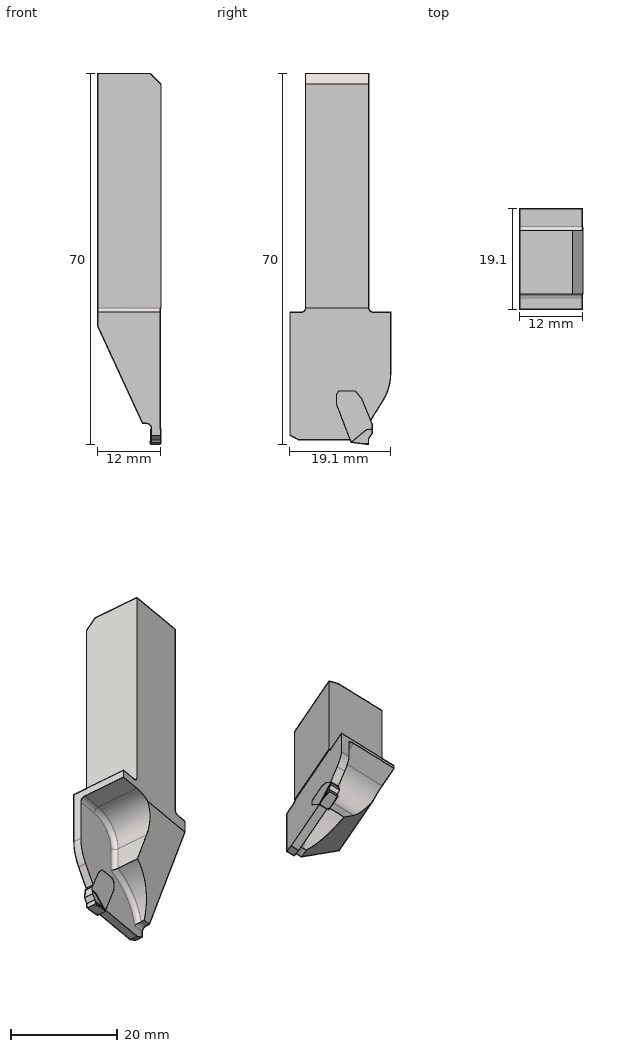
import cadquery as cq

total_height = 70.0
shank_size = 12.0
shank_front = 2.95
shank_back = shank_front + shank_size
top_chamfer = 2.0

head_depth = 19.05
head_top = 25.0
neck_fillet = 0.8
head_side = 11.8
head_bottom = 0.9
heel_radius = 9.8
heel_corner_z = 10.65
heel_bottom_y = 12.95
toe_y = 1.6
toe_z = 1.75

flank_top_z = 22.3
flank_bottom_x = 8.5

blade_face_x = 10.15
recess_top = 23.3
recess_side_y = 8.75
recess_corner_radius = shank_back - recess_side_y
recess_step_z = 12.4
curve_mid = (4.4, 9.4)
curve_end_y = 1.6
ledge_z = 4.0
recess_fillet = 1.0

insert_outline = [
    (12.4, 10.1), (9.2, 10.1), (8.75, 9.4), (8.75, 7.7), (11.55, 0.4),
    (14.85, 0.0), (14.85, 1.1), (15.55, 2.1), (15.55, 3.85), (15.2, 4.6), (13.6, 8.6),
]
tip_outline = [
    (15.55, 2.95), (14.4, 2.8), (11.55, 0.4), (14.85, 0.0), (14.85, 1.1), (15.55, 2.1),
]
tip_face_x = 10.0
tip_left_x = 9.9
tip_right_x = 12.0
tip_top_z = 2.95
tip_flare_z = 0.85
tip_edge_z = 0.55
tip_bevel = 0.2

clearance = 3.5


def side_prism(points, start_x, end_x):
    """Extrude a closed YZ polygon between two X positions."""
    return cq.Workplane("YZ", origin=(start_x, 0, 0)).polyline(points).close().extrude(end_x - start_x)


def make_blank():
    """Shank and head with neck fillets, rounded heel and set-back head side."""
    shank = cq.Workplane("XY").box(
        shank_size, shank_size, total_height - head_top, centered=False
    ).translate((0, shank_front, head_top))
    shank = shank.edges(">X and >Z").chamfer(top_chamfer)
    head_outline = [
        (0, head_top), (0, toe_z), (toe_y, head_bottom), (heel_bottom_y, head_bottom),
        (head_depth, heel_corner_z), (head_depth, head_top),
    ]
    head = side_prism(head_outline, 0, shank_size)
    heel_edge = cq.selectors.NearestToPointSelector((shank_size / 2, head_depth, heel_corner_z))
    head = head.edges(heel_edge).fillet(heel_radius)
    blank = shank.union(head)
    for neck_y in (shank_front, shank_back):
        neck_edge = cq.selectors.NearestToPointSelector((shank_size / 2, neck_y, head_top))
        blank = blank.edges(neck_edge).fillet(neck_fillet)
    set_back = cq.Workplane("XY").box(
        clearance, head_depth, head_top + neck_fillet, centered=False
    ).translate((head_side, 0, 0))
    return blank.cut(set_back)


def make_flank_cut():
    """Wedge removed from the -X side so the head tapers downward."""
    return (
        cq.Workplane("XZ")
        .polyline([(0, flank_top_z), (flank_bottom_x, ledge_z), (flank_bottom_x, 0), (0, 0)])
        .close()
        .extrude(-head_depth)
    )


def make_recess():
    """Recess down to the blade face, with a rounded rim around its floor."""
    recess = (
        cq.Workplane("YZ")
        .moveTo(head_depth + clearance, recess_top)
        .lineTo(shank_back, recess_top)
        .radiusArc((recess_side_y, recess_top - recess_corner_radius), -recess_corner_radius)
        .lineTo(recess_side_y, recess_step_z)
        .threePointArc(curve_mid, (curve_end_y, ledge_z))
        .lineTo(-clearance, ledge_z)
        .lineTo(-clearance, -clearance)
        .lineTo(head_depth + clearance, -clearance)
        .close()
        .extrude(blade_face_x)
    )
    edge_margin = 0.7
    wall_edges = cq.selectors.BoxSelector(
        (blade_face_x - edge_margin, edge_margin - clearance, 0),
        (blade_face_x + edge_margin, head_depth + clearance - edge_margin, total_height),
    )
    return recess.edges(">X").edges(wall_edges).fillet(recess_fillet)


def make_insert():
    """Insert as thick as the blade, with a wider cutting tip."""
    body = side_prism(insert_outline, blade_face_x, head_side).cut(
        side_prism(tip_outline, blade_face_x, head_side)
    )
    tip_section = (
        cq.Workplane("XZ")
        .polyline([
            (tip_face_x, tip_top_z), (tip_face_x, tip_flare_z), (tip_left_x, tip_edge_z),
            (tip_left_x, tip_bevel), (tip_left_x + tip_bevel, 0), (tip_right_x - tip_bevel, 0),
            (tip_right_x, tip_bevel), (tip_right_x, tip_top_z),
        ])
        .close()
        .extrude(-head_depth)
    )
    tip = side_prism(tip_outline, tip_left_x, tip_right_x).intersect(tip_section)
    return body.union(tip)


insert_seat = side_prism(insert_outline, 0, shank_size)
holder = make_blank().cut(make_flank_cut()).cut(make_recess()).cut(insert_seat)
insert = make_insert()

result = cq.Compound.makeCompound([holder.solids().val(), insert.solids().val()])